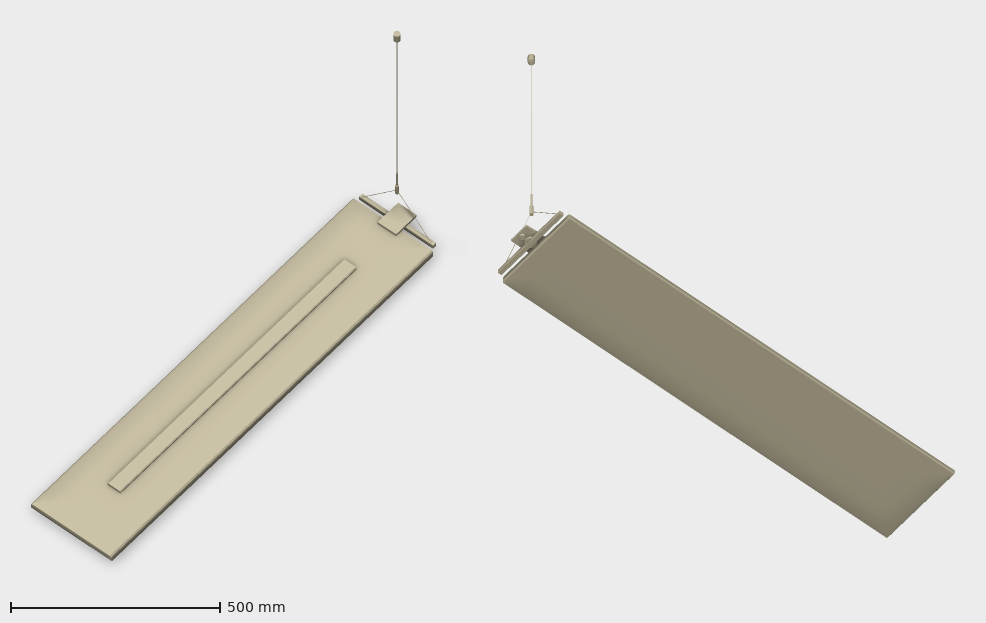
import cadquery as cq
import math

panel_width = 250.0
panel_length = 1200.0
panel_height = 21.0
side_chamfer = 4.0
front_bevel_height = 8.0
front_bevel_depth = 4.0

strip_width = 40.0
strip_front = 160.0
strip_length = 880.0
strip_height = 8.0
strip_chamfer = 3.0

plate_width = 58.0
plate_length = 76.0
plate_back = 1254.0
plate_height = 8.0

suspension_y = 1215.0
rail_y = 1218.0
rail_width = 231.0
rail_depth = 11.0
rail_height = 13.0
screw_diameter = 15.0
screw_y = 1243.0
pad_diameter = 30.0
head_height = 6.0
embed = 1.0

total_height = 756.0
cable_diameter = 1.5
sleeve_diameter = 5.0
sleeve_top = 210.0
ferrule_diameter = 10.0
ferrule_bottom = 130.0
ferrule_top = 160.0
sling_half_span = 110.0
sling_apex = 142.0
cap_diameter = 18.0
cap_height = 23.0
collar_diameter = 13.0
collar_height = 4.0


def box(width, length, height, front, bottom):
    """Box centred on X, placed by its front and bottom faces."""
    return cq.Workplane("XY").box(width, length, height, centered=(True, False, False)).translate(
        (0, front, bottom)
    )


def post(diameter, bottom, top, y=suspension_y):
    """Vertical cylinder on the centre plane."""
    return cq.Workplane("XY", origin=(0, y, bottom)).circle(diameter / 2).extrude(top - bottom)


def make_panel():
    panel = box(panel_width, panel_length, panel_height, 0, 0)
    panel = panel.faces(">Z").edges("|Y").chamfer(side_chamfer)
    bevel = (
        cq.Workplane("YZ")
        .polyline([(0, 0), (front_bevel_depth, 0), (0, front_bevel_height)])
        .close()
        .extrude(panel_width / 2, both=True)
    )
    return panel.cut(bevel)


def make_strip():
    strip = box(strip_width, strip_length, strip_height, strip_front, panel_height)
    return strip.faces(">Z").edges("|Y").chamfer(strip_chamfer)


def make_bracket():
    bracket = box(plate_width, plate_length, plate_height, plate_back - plate_length, panel_height)
    rail_front = rail_y - rail_depth / 2
    bracket = bracket.union(
        box(rail_width, rail_depth, rail_height, rail_front, panel_height + embed - rail_height)
    )
    for diameter, y in ((screw_diameter, screw_y), (pad_diameter, rail_y)):
        head = post(diameter, panel_height - head_height, panel_height + embed, y)
        bracket = bracket.union(head)
    return bracket


def make_sling(side):
    """Slanted wire from inside the ferrule down into one end of the rail."""
    drop = sling_apex - panel_height + embed
    foot = cq.Vector(side * sling_half_span, 0, -drop)
    wire_length = math.hypot(sling_half_span, drop)
    return cq.Workplane(
        cq.Solid.makeCylinder(
            cable_diameter / 2, wire_length, cq.Vector(0, suspension_y, sling_apex), foot
        )
    )


def make_hanger():
    cap_bottom = total_height - cap_height
    hanger = post(ferrule_diameter, ferrule_bottom, ferrule_top)
    hanger = hanger.union(post(sleeve_diameter, ferrule_top, sleeve_top))
    hanger = hanger.union(post(cable_diameter, sleeve_top, cap_bottom))
    hanger = hanger.union(post(collar_diameter, cap_bottom - collar_height, cap_bottom))
    hanger = hanger.union(post(cap_diameter, cap_bottom, total_height))
    for side in (-1, 1):
        hanger = hanger.union(make_sling(side))
    return hanger


result = make_panel().union(make_strip()).union(make_bracket()).union(make_hanger())